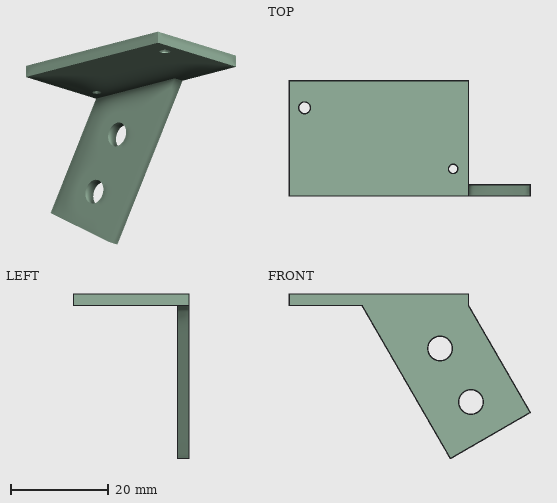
import cadquery as cq
import math

overall_length = 49.65
arm_overhang = 12.7
plate_length = overall_length - arm_overhang
plate_depth = 23.8
thickness = 2.4

arm_angle = math.radians(60)
arm_width = 19.0
arm_drop = arm_overhang * math.tan(arm_angle)
arm_top_width = arm_width / math.sin(arm_angle)

plate_hole_inset_x = 3.2
plate_hole_inset_y = 5.6
rear_hole_diameter = 2.4
front_hole_diameter = 1.9
arm_hole_diameter = 5.0
arm_hole_spacing = 12.7
arm_hole_end_distance = 8.0


def vertical_hole(x, y, diameter):
    """Cutter through the plate thickness."""
    return cq.Workplane("XY").center(x, y).circle(diameter / 2).extrude(-thickness)


def make_plate():
    """Flat plate with its top at Z = 0 and two holes in opposite corners."""
    plate = cq.Workplane("XY").rect(plate_length, plate_depth, centered=False).extrude(-thickness)
    rear_hole = vertical_hole(plate_hole_inset_x, plate_depth - plate_hole_inset_y, rear_hole_diameter)
    front_hole = vertical_hole(plate_length - plate_hole_inset_x, plate_hole_inset_y, front_hole_diameter)
    return plate.cut(rear_hole).cut(front_hole)


def make_arm():
    """Slanted plate with a square end and two holes on its centreline."""
    along = (math.cos(arm_angle), -math.sin(arm_angle))
    tip = (overall_length, -thickness - arm_drop)
    heel = (tip[0] - arm_width * math.sin(arm_angle), tip[1] - arm_width * math.cos(arm_angle))
    end_middle = ((tip[0] + heel[0]) / 2, (tip[1] + heel[1]) / 2)
    outline = [
        (plate_length - arm_top_width, -thickness),
        (plate_length, -thickness),
        tip,
        heel,
    ]
    hole_distances = [arm_hole_end_distance, arm_hole_end_distance + arm_hole_spacing]
    hole_centres = [
        (end_middle[0] - distance * along[0], end_middle[1] - distance * along[1])
        for distance in hole_distances
    ]
    arm = cq.Workplane("XZ").polyline(outline).close().extrude(-thickness)
    holes = cq.Workplane("XZ").pushPoints(hole_centres).circle(arm_hole_diameter / 2).extrude(-thickness)
    return arm.cut(holes)


result = make_plate().union(make_arm())